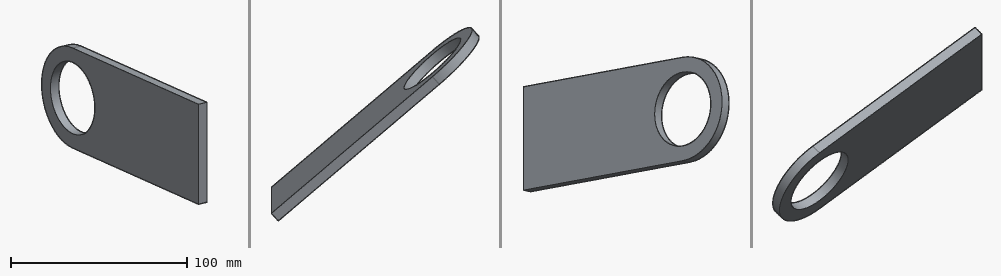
import cadquery as cq

overall_length = 151.4
plate_width = 60.0
plate_thickness = 6.0
hole_diameter = 42.7

end_radius = plate_width / 2
square_end_x = overall_length - end_radius


def back_face_plane():
    """Workplane on the +Y face of the plate, with its normal along -Y."""
    return cq.Workplane("XZ", origin=(0, plate_thickness / 2, 0))


def plate_blank():
    """Flat plate in the XZ plane, rounded at -X and square at +X, centred in Y."""
    return (
        back_face_plane()
        .moveTo(0, end_radius)
        .lineTo(square_end_x, end_radius)
        .lineTo(square_end_x, -end_radius)
        .lineTo(0, -end_radius)
        .threePointArc((-end_radius, 0), (0, end_radius))
        .close()
        .extrude(plate_thickness)
    )


def with_eye_hole(plate):
    """Bore a through hole along Y, concentric with the rounded end."""
    hole = back_face_plane().circle(hole_diameter / 2).extrude(plate_thickness)
    return plate.cut(hole)


result = with_eye_hole(plate_blank())